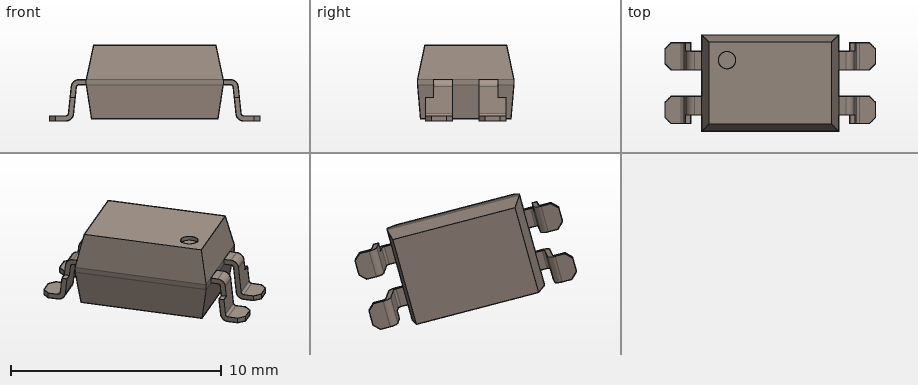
import cadquery as cq
import math

LEAD_SPAN = 10.0
BODY_LENGTH = 6.5
BODY_WIDTH = 4.58
BODY_TOP_Z = 3.6
BODY_BOTTOM_Z = 0.1

LEAD_THICKNESS = 0.25
LEAD_TOP_Z = 1.97
LEAD_PITCH = 2.54
FOOT_WIDTH = 1.3
SHOULDER_WIDTH = 0.9
SHOULDER_Z = 1.12
FOOT_CHAMFER = 0.3
STRAIGHT_RUN = 0.34
INNER_BEND_RADIUS = 0.125
OUTER_BEND_RADIUS = INNER_BEND_RADIUS + LEAD_THICKNESS
LEG_TILT = math.radians(6)

BAND_TOP_Z = LEAD_TOP_Z
BAND_BOTTOM_Z = LEAD_TOP_Z - LEAD_THICKNESS
TOP_DRAFT = math.radians(12)
TOP_INSET = (BODY_TOP_Z - BAND_TOP_Z) * math.tan(TOP_DRAFT)
BOTTOM_INSET_X = 0.25
BOTTOM_INSET_Y = 0.14

DIMPLE_DIAMETER = 0.82
DIMPLE_DEPTH = 0.2
DIMPLE_EDGE_OFFSET = 1.2


def taper(start_z, end_z, inset_x, inset_y):
    """Solid narrowing from the full body rectangle by an inset on each side."""
    return (
        cq.Workplane("XY", origin=(0, 0, start_z))
        .rect(BODY_LENGTH, BODY_WIDTH)
        .workplane(offset=end_z - start_z)
        .rect(BODY_LENGTH - 2 * inset_x, BODY_WIDTH - 2 * inset_y)
        .loft(ruled=True)
    )


def make_body():
    band = (
        cq.Workplane("XY", origin=(0, 0, BAND_BOTTOM_Z))
        .rect(BODY_LENGTH, BODY_WIDTH)
        .extrude(LEAD_THICKNESS)
    )
    upper = taper(BAND_TOP_Z, BODY_TOP_Z, TOP_INSET, TOP_INSET)
    lower = taper(BAND_BOTTOM_Z, BODY_BOTTOM_Z, BOTTOM_INSET_X, BOTTOM_INSET_Y)
    dimple = (
        cq.Workplane("XY", origin=(0, 0, BODY_TOP_Z))
        .center(DIMPLE_EDGE_OFFSET - BODY_LENGTH / 2, BODY_WIDTH / 2 - DIMPLE_EDGE_OFFSET)
        .circle(DIMPLE_DIAMETER / 2)
        .extrude(-DIMPLE_DEPTH)
    )
    return band.union(upper).union(lower).cut(dimple)


def on_circle(center, radius, angle):
    return (center[0] + radius * math.cos(angle), center[1] + radius * math.sin(angle))


def lead_profile():
    """Closed XZ outline of the bent strip on the -X side."""
    body_x = -BODY_LENGTH / 2
    tip_x = -LEAD_SPAN / 2
    upper_center = (body_x - STRAIGHT_RUN, LEAD_TOP_Z - OUTER_BEND_RADIUS)
    lower_z = OUTER_BEND_RADIUS
    rise = upper_center[1] - lower_z
    radius_sum = INNER_BEND_RADIUS + OUTER_BEND_RADIUS
    lower_x = upper_center[0] - (radius_sum + rise * math.sin(LEG_TILT)) / math.cos(LEG_TILT)
    lower_center = (lower_x, lower_z)

    up = math.pi / 2
    down = -up
    upper_end = math.pi - LEG_TILT
    upper_mid = (up + upper_end) / 2
    lower_end = -LEG_TILT
    lower_mid = (down + lower_end) / 2

    return (
        cq.Workplane("XZ")
        .moveTo(body_x, LEAD_TOP_Z)
        .lineTo(*on_circle(upper_center, OUTER_BEND_RADIUS, up))
        .threePointArc(
            on_circle(upper_center, OUTER_BEND_RADIUS, upper_mid),
            on_circle(upper_center, OUTER_BEND_RADIUS, upper_end),
        )
        .lineTo(*on_circle(lower_center, INNER_BEND_RADIUS, lower_end))
        .threePointArc(
            on_circle(lower_center, INNER_BEND_RADIUS, lower_mid),
            on_circle(lower_center, INNER_BEND_RADIUS, down),
        )
        .lineTo(tip_x, LEAD_THICKNESS)
        .lineTo(tip_x, 0)
        .lineTo(*on_circle(lower_center, OUTER_BEND_RADIUS, down))
        .threePointArc(
            on_circle(lower_center, OUTER_BEND_RADIUS, lower_mid),
            on_circle(lower_center, OUTER_BEND_RADIUS, lower_end),
        )
        .lineTo(*on_circle(upper_center, INNER_BEND_RADIUS, upper_end))
        .threePointArc(
            on_circle(upper_center, INNER_BEND_RADIUS, upper_mid),
            on_circle(upper_center, INNER_BEND_RADIUS, up),
        )
        .lineTo(body_x, BAND_BOTTOM_Z)
        .close()
    )


def make_lead():
    """Lead at the -X, +Y corner; its outer side is notched above the shoulder."""
    inner_y = (LEAD_PITCH - FOOT_WIDTH) / 2
    strip = lead_profile().extrude(-FOOT_WIDTH).translate((0, inner_y, 0))
    strip = strip.faces("<X").edges("|Z").chamfer(FOOT_CHAMFER)
    notch = cq.Workplane("XY").box(
        LEAD_SPAN / 2,
        FOOT_WIDTH - SHOULDER_WIDTH,
        LEAD_TOP_Z - SHOULDER_Z,
        centered=False,
    ).translate((-LEAD_SPAN / 2, inner_y + SHOULDER_WIDTH, SHOULDER_Z))
    return strip.cut(notch)


corner_lead = make_lead()
left_leads = corner_lead.union(corner_lead.mirror("XZ"))
right_leads = left_leads.mirror("YZ")
result = make_body().union(left_leads).union(right_leads)